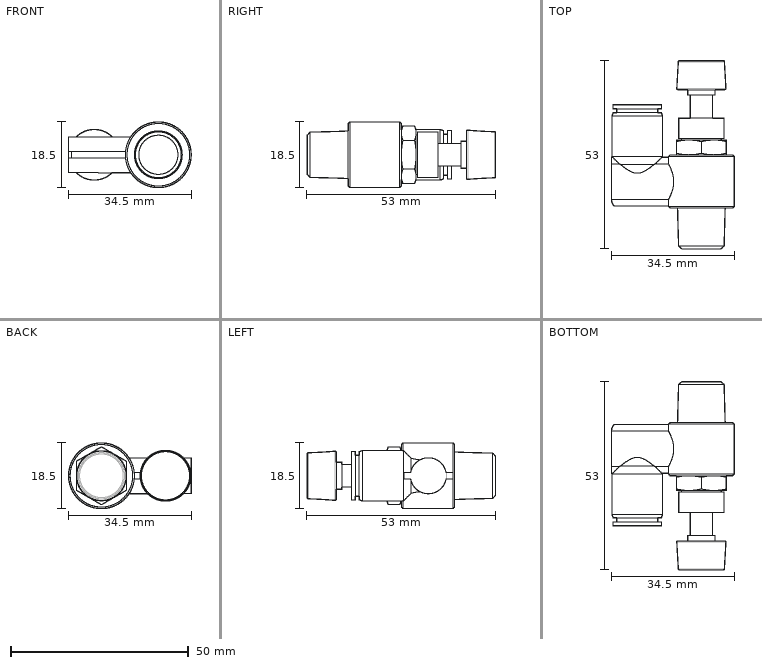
import cadquery as cq
import math

thread_chamfer = 0.85
body_start = 11.5
body_end = 26.45
nut_end = 30.6
neck_end = 31.0
collar_end = 36.8
stem_end = 43.2
flange_end = 44.7
knob_end = 52.95

thread_tip_diameter = 11.0
thread_small_diameter = 12.85
thread_large_diameter = 13.45
body_diameter = 18.5
body_chamfer = 0.5
nut_width = 14.1
nut_chamfer = 0.4
neck_diameter = 11.2
collar_diameter = 12.75
stem_diameter = 6.35
flange_diameter = 7.7
knob_large_diameter = 13.9
knob_small_diameter = 12.95
knob_edge_radius = 0.35

arm_diameter = 10.1
arm_end_x = -25.25
arm_axis_y = 18.9

port_diameter = 14.3
port_end_inset = 0.1
port_x = arm_end_x + port_diameter / 2 + port_end_inset
port_root_diameter = 8.0
port_cone_diameter = 9.85
port_cone_start = 23.7
port_barrel_start = port_cone_start + (port_diameter - port_cone_diameter) / 2
port_shoulder_start = 37.35
port_barrel_end = 38.3
port_groove_end = 39.4
port_ring_end = 40.55
port_shoulder_inset = 0.35
port_groove_diameter = 11.6
port_ring_diameter = 13.7

rib_thickness = 1.8
rib_height = 13.75
rib_corner_width = 0.8
rib_corner_height = 1.8


def revolve_about_y(profile, axis_x=0.0):
    """Turn a list of (diameter, y) pairs into a solid about an axis parallel to Y."""
    start_y = profile[0][1]
    end_y = profile[-1][1]
    outline = [(0, start_y)] + [(diameter / 2, y) for diameter, y in profile] + [(0, end_y)]
    solid = cq.Workplane("XY").polyline(outline).close().revolve(360, (0, 0, 0), (0, 1, 0))
    return solid.translate((axis_x, 0, 0))


def cylinder_about_y(diameter, start_y, end_y):
    return revolve_about_y([(diameter, start_y), (diameter, end_y)])


def make_thread():
    return revolve_about_y([
        (thread_tip_diameter, 0),
        (thread_small_diameter, thread_chamfer),
        (thread_large_diameter, body_start),
    ])


def make_body():
    body = cylinder_about_y(body_diameter, body_start, body_end)
    return body.edges("%CIRCLE").chamfer(body_chamfer)


def make_nut():
    """Hexagon with flats facing +X and -X, its corners trimmed by a cone at both ends."""
    hexagon = (
        cq.Workplane("XZ", origin=(0, body_end, 0))
        .polygon(6, nut_width, circumscribed=True)
        .extrude(body_end - nut_end)
    )
    corner_diameter = nut_width / math.cos(math.pi / 6)
    trim = revolve_about_y([
        (nut_width, body_end),
        (corner_diameter, body_end + nut_chamfer),
        (corner_diameter, nut_end - nut_chamfer),
        (nut_width, nut_end),
    ])
    return hexagon.intersect(trim)


def make_knob():
    knob = revolve_about_y([(knob_large_diameter, flange_end), (knob_small_diameter, knob_end)])
    return knob.faces("<Y or >Y").edges().fillet(knob_edge_radius)


def make_arm():
    return (
        cq.Workplane("YZ", origin=(arm_end_x, arm_axis_y, 0))
        .circle(arm_diameter / 2)
        .extrude(-arm_end_x)
    )


def make_rib():
    """Rib centred on the arm, with its outer threaded-end corner rounded."""
    low_y = arm_axis_y - rib_height / 2
    high_y = arm_axis_y + rib_height / 2
    rib = (
        cq.Workplane("XY")
        .moveTo(0, high_y)
        .lineTo(arm_end_x, high_y)
        .lineTo(arm_end_x, low_y + rib_corner_height)
        .tangentArcPoint((arm_end_x + rib_corner_width, low_y), relative=False)
        .lineTo(0, low_y)
        .close()
    )
    return rib.extrude(rib_thickness / 2, both=True)


def make_port():
    return revolve_about_y(
        [
            (port_root_diameter, arm_axis_y),
            (port_cone_diameter, port_cone_start),
            (port_diameter, port_barrel_start),
            (port_diameter, port_shoulder_start),
            (port_diameter - 2 * port_shoulder_inset, port_barrel_end),
            (port_groove_diameter, port_barrel_end),
            (port_groove_diameter, port_groove_end),
            (port_ring_diameter, port_groove_end),
            (port_ring_diameter, port_ring_end),
        ],
        port_x,
    )


result = (
    make_body()
    .union(make_thread())
    .union(make_nut())
    .union(cylinder_about_y(neck_diameter, nut_end, neck_end))
    .union(cylinder_about_y(collar_diameter, neck_end, collar_end))
    .union(cylinder_about_y(stem_diameter, collar_end, stem_end))
    .union(cylinder_about_y(flange_diameter, stem_end, flange_end))
    .union(make_knob())
    .union(make_arm())
    .union(make_rib())
    .union(make_port())
)